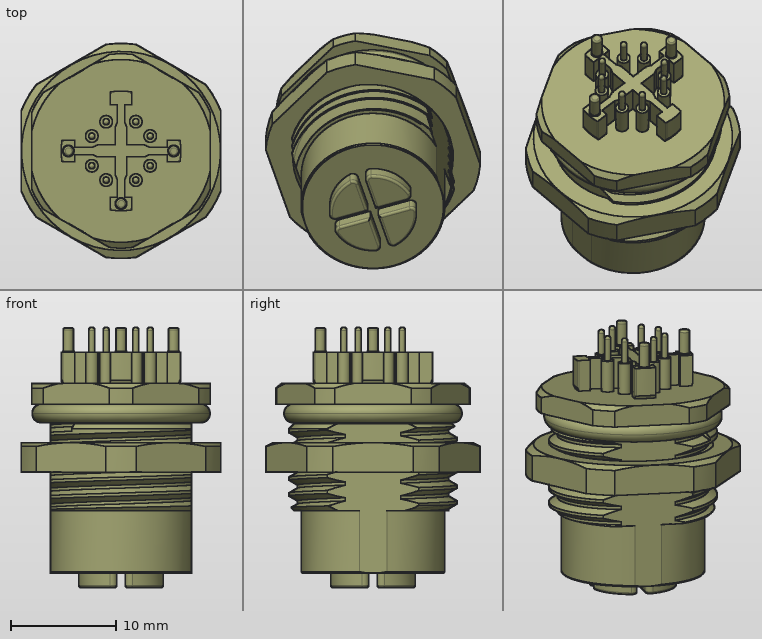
import cadquery as cq
import math

SHELL_BOTTOM = 1.4
THREAD_BOTTOM = 7.35
NUT_BOTTOM = 11.0
NUT_TOP = 13.81
THREAD_TOP = 15.62
FLANGE_BOTTOM = 17.45
FLANGE_TOP = 19.45
INSULATOR_TOP = 22.42
POWER_PIN_TOP = 24.73
SIGNAL_PIN_TOP = 24.8

SHELL_RADIUS = 6.85
FLAT_DISTANCE = 6.72
NECK_RADIUS = FLAT_DISTANCE
SHELL_EDGE_CHAMFER = 0.12

POST_RADIUS = 4.15
POST_SLOT_WIDTH = 0.8
POST_CORNER_FILLET = 0.52
POST_BOTTOM_FILLET = 0.25

THREAD_RADIUS = 8.0
THREAD_ROOT_RADIUS = 7.22
THREAD_PITCH = (THREAD_TOP - THREAD_BOTTOM) / 5.5
THREAD_TURNS = 6
ROOT_WIDTH = 0.3
THREAD_END_CHAMFER = 0.5
THREAD_FLANK_ANGLE = 30
GROOVE_OVERSHOOT = 0.12
GROOVE_END_ANGLE = -126
GROOVE_END_HEIGHT = 15.5

HEXAGON_HALF_ANGLE = 30
NUT_APOTHEM = 9.5
NUT_CORNER_RADIUS = 10.25
NUT_CHAMFER_WIDTH = 0.77
NUT_CHAMFER_DROP = 0.37
NUT_BORE_RADIUS = 7.65
FLANGE_APOTHEM = 8.5
FLANGE_CORNER_RADIUS = 9.25
FLANGE_CHAMFER_WIDTH = 0.55
FLANGE_CHAMFER_DROP = 0.45

RING_OUTER_RADIUS = 8.48
RING_SQUEEZE = 0.02

HUB_HALF_WIDTH = 0.57
HUB_REACH = 2.23
ARM_HALF_WIDTH = 0.35
ARM_TAPER_END = 2.73
PAD_INNER = 4.4
PAD_OUTER_RADIUS = 5.7
PAD_WIDTH = 2.03
PAD_CORNER_FILLET = 0.1
PAD_FOOT_HEIGHT = 0.3
PAD_FOOT_INSET = 0.12

POWER_PIN_RADIUS = 0.5
POWER_PIN_POSITION = 5.0
POWER_PIN_FILLET = 0.17
COLLAR_RADIUS = 0.55
COLLAR_HEIGHT = 0.07
SIGNAL_PIN_RADIUS = 0.3
SIGNAL_PIN_NEAR = 1.41
SIGNAL_PIN_FAR = 2.78
SLEEVE_RADIUS = 0.6

QUARTER_TURNS = (0, 90, 180, 270)
POWER_PIN_TURNS = (0, 180, 270)


def cylinder(radius, bottom, top, x=0, y=0):
    return cq.Workplane("XY", origin=(x, y, bottom)).circle(radius).extrude(top - bottom)


def turned(part, angle):
    return part.rotate((0, 0, 0), (0, 0, 1), angle)


def hexagon(apothem, corner_radius, bottom, top, chamfer_width, chamfer_drop):
    """Hexagon with flats facing +X and -X, rounded corners and a conical top chamfer."""
    height = top - bottom
    circumscribed_diameter = 2 * apothem / math.cos(math.radians(HEXAGON_HALF_ANGLE))
    prism = cq.Workplane("XY", origin=(0, 0, bottom)).polygon(6, circumscribed_diameter).extrude(height)
    turned_blank = cylinder(corner_radius, bottom, top).faces(">Z").chamfer(chamfer_drop, chamfer_width)
    return turned(prism, HEXAGON_HALF_ANGLE).intersect(turned_blank)


def nut():
    """Plain-bored nut held by the thread ridges, leaving gaps beside the two flats."""
    body = hexagon(NUT_APOTHEM, NUT_CORNER_RADIUS, NUT_BOTTOM, NUT_TOP, NUT_CHAMFER_WIDTH, NUT_CHAMFER_DROP)
    return body.cut(cylinder(NUT_BORE_RADIUS, NUT_BOTTOM, NUT_TOP))


def flange():
    return hexagon(
        FLANGE_APOTHEM, FLANGE_CORNER_RADIUS, FLANGE_BOTTOM, FLANGE_TOP,
        FLANGE_CHAMFER_WIDTH, FLANGE_CHAMFER_DROP)


def contact_post():
    """The post quadrant on the +X +Y side of the cross slot."""
    slot_half = POST_SLOT_WIDTH / 2
    corner_block = (
        cq.Workplane("XY", origin=(slot_half, slot_half, 0))
        .box(POST_RADIUS, POST_RADIUS, SHELL_BOTTOM, centered=False)
    )
    quadrant = cylinder(POST_RADIUS, 0, SHELL_BOTTOM).intersect(corner_block)
    quadrant = quadrant.edges("|Z").edges(">X or >Y").fillet(POST_CORNER_FILLET)
    return quadrant.faces("<Z").edges().fillet(POST_BOTTOM_FILLET)


def thread():
    """Threaded cylinder whose groove stops at a blunt end near the top."""
    blank = cylinder(THREAD_RADIUS, THREAD_BOTTOM, THREAD_TOP).edges().chamfer(THREAD_END_CHAMFER)
    cutter_radius = THREAD_RADIUS + GROOVE_OVERSHOOT
    root_half = ROOT_WIDTH / 2
    flank_slope = math.tan(math.radians(THREAD_FLANK_ANGLE))
    mouth_half = root_half + (cutter_radius - THREAD_ROOT_RADIUS) * flank_slope
    path = cq.Wire.makeHelix(THREAD_PITCH, THREAD_TURNS * THREAD_PITCH, THREAD_ROOT_RADIUS)
    groove = (
        cq.Workplane("XZ")
        .polyline([
            (THREAD_ROOT_RADIUS, -root_half),
            (cutter_radius, -mouth_half),
            (cutter_radius, mouth_half),
            (THREAD_ROOT_RADIUS, root_half),
        ])
        .close()
        .sweep(cq.Workplane(path), isFrenet=True)
    )
    groove_start_height = GROOVE_END_HEIGHT - THREAD_TURNS * THREAD_PITCH
    return blank.cut(turned(groove, GROOVE_END_ANGLE).translate((0, 0, groove_start_height)))


def shell():
    barrel = cylinder(SHELL_RADIUS, SHELL_BOTTOM, THREAD_BOTTOM).faces("<Z").chamfer(SHELL_EDGE_CHAMFER)
    between_flats = cq.Workplane("XY").box(2 * FLAT_DISTANCE, 2 * THREAD_RADIUS, 2 * THREAD_TOP)
    return barrel.union(thread()).intersect(between_flats)


def neck_and_ring():
    section_radius = (RING_OUTER_RADIUS - NECK_RADIUS + RING_SQUEEZE) / 2
    center_radius = RING_OUTER_RADIUS - section_radius
    center_height = FLANGE_BOTTOM - section_radius + RING_SQUEEZE
    neck = cylinder(NECK_RADIUS, THREAD_TOP, FLANGE_BOTTOM)
    seat = cylinder(center_radius, center_height, FLANGE_BOTTOM)
    ring = cq.Workplane(cq.Solid.makeTorus(center_radius, section_radius, cq.Vector(0, 0, center_height)))
    return neck.union(seat).union(ring)


def insulator_arm():
    """One arm of the cross, along +X, with the pad at its end."""
    height = INSULATOR_TOP - FLANGE_TOP
    arm = (
        cq.Workplane("XY", origin=(0, 0, FLANGE_TOP))
        .polyline([
            (0, -HUB_HALF_WIDTH),
            (HUB_REACH, -HUB_HALF_WIDTH),
            (ARM_TAPER_END, -ARM_HALF_WIDTH),
            (PAD_INNER, -ARM_HALF_WIDTH),
            (PAD_INNER, ARM_HALF_WIDTH),
            (ARM_TAPER_END, ARM_HALF_WIDTH),
            (HUB_REACH, HUB_HALF_WIDTH),
            (0, HUB_HALF_WIDTH),
        ])
        .close()
        .extrude(height)
    )
    pad_round = (
        cylinder(PAD_OUTER_RADIUS, FLANGE_TOP, INSULATOR_TOP)
        .faces("<Z").chamfer(PAD_FOOT_HEIGHT, PAD_FOOT_INSET)
    )
    pad_block = (
        cq.Workplane("XY", origin=(PAD_INNER, 0, FLANGE_TOP))
        .box(PAD_OUTER_RADIUS, PAD_WIDTH, height, centered=(False, True, False))
    )
    pad = pad_block.intersect(pad_round)
    pad = pad.edges("|Z").edges(">X").fillet(PAD_CORNER_FILLET)
    return arm.union(pad)


def power_pin():
    """Pin on the +X pad, with a rounded tip and a low collar at its foot."""
    pin = cylinder(POWER_PIN_RADIUS, FLANGE_TOP, POWER_PIN_TOP, x=POWER_PIN_POSITION)
    pin = pin.faces(">Z").edges().fillet(POWER_PIN_FILLET)
    collar = cylinder(COLLAR_RADIUS, FLANGE_TOP, INSULATOR_TOP + COLLAR_HEIGHT, x=POWER_PIN_POSITION)
    return pin.union(collar)


def signal_pin(x, y):
    """Pin with a domed tip, standing in an insulating sleeve."""
    dome_height = SIGNAL_PIN_TOP - SIGNAL_PIN_RADIUS
    sleeve = cylinder(SLEEVE_RADIUS, FLANGE_TOP, INSULATOR_TOP, x, y)
    pin = cylinder(SIGNAL_PIN_RADIUS, FLANGE_TOP, dome_height, x, y)
    dome = cq.Workplane("XY", origin=(x, y, dome_height)).sphere(SIGNAL_PIN_RADIUS)
    return sleeve.union(pin).union(dome)


def contact_head():
    """The flange with everything that stands on it."""
    head = flange()
    for angle in QUARTER_TURNS:
        head = head.union(turned(insulator_arm(), angle))
        head = head.union(turned(signal_pin(SIGNAL_PIN_NEAR, SIGNAL_PIN_FAR), angle))
        head = head.union(turned(signal_pin(SIGNAL_PIN_FAR, SIGNAL_PIN_NEAR), angle))
    for angle in POWER_PIN_TURNS:
        head = head.union(turned(power_pin(), angle))
    return head


connector = shell().union(nut()).union(neck_and_ring().union(contact_head()))
for angle in QUARTER_TURNS:
    connector = connector.union(turned(contact_post(), angle))
result = connector.solids()